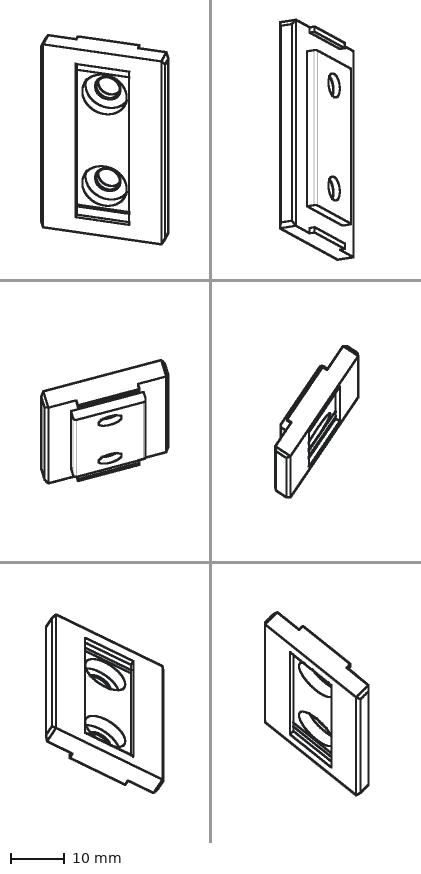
import cadquery as cq

length = 40.0
width = 23.9
plate_thickness = 3.4
side_chamfer = 0.55
end_chamfer_length = 0.9

total_depth = 5.35
block_width = 14.0
block_length = 30.1
block_fillet = 0.5
lip_width = 11.9
lip_length = 1.05
lip_height = 1.05

window_width = 10.3
window_length = 33.5
window_depth = 0.9
recess_width = 12.0
recess_length = 29.85
recess_depth = 1.5

hole_spacing = 20.0
hole_diameter = 4.5
hole_chamfer = 0.2
counterbore_diameter = 8.55
counterbore_depth = 2.3


def box(x_size, z_size, y_start, y_end, z_center=0.0):
    """Box centred on x, spanning y_start to y_end."""
    center = (0, (y_start + y_end) / 2, z_center)
    return cq.Workplane("XY").box(x_size, y_end - y_start, z_size).translate(center)


def make_plate():
    """Plate with its long edges and its four corners bevelled."""
    side_profile = box(width, length, 0, plate_thickness).edges("|Z").chamfer(side_chamfer)
    half_width = width / 2
    half_length = length / 2
    end_half_width = half_width - side_chamfer
    bevel_start = half_length - end_chamfer_length
    corner_outline = (
        cq.Workplane("XZ")
        .polyline([
            (-end_half_width, half_length),
            (end_half_width, half_length),
            (half_width, bevel_start),
            (half_width, -bevel_start),
            (end_half_width, -half_length),
            (-end_half_width, -half_length),
            (-half_width, -bevel_start),
            (-half_width, bevel_start),
        ])
        .close()
        .extrude(-plate_thickness)
    )
    return side_profile.intersect(corner_outline)


def make_block():
    """Raised block with its two long rear edges rounded."""
    block = box(block_width, block_length, plate_thickness, total_depth)
    return block.edges("|Z and >Y").fillet(block_fillet)


def make_lip(end):
    """Narrow lip flush with the top (end = 1) or bottom (end = -1) of the plate."""
    z_center = end * (length - lip_length) / 2
    return box(lip_width, lip_length, plate_thickness, plate_thickness + lip_height, z_center)


def make_screw_hole(z_center):
    """Through hole with a counterbore and a small chamfer at the counterbore floor."""
    seat = recess_depth + counterbore_depth
    hole_radius = hole_diameter / 2
    counterbore_radius = counterbore_diameter / 2
    return (
        cq.Workplane("XY")
        .polyline([
            (0, 0),
            (counterbore_radius, 0),
            (counterbore_radius, seat),
            (hole_radius + hole_chamfer, seat),
            (hole_radius, seat + hole_chamfer),
            (hole_radius, total_depth),
            (0, total_depth),
        ])
        .close()
        .revolve(360, (0, 0), (0, 1))
        .translate((0, 0, z_center))
    )


result = make_plate().union(make_block())
for end in (-1, 1):
    result = result.union(make_lip(end))

result = result.cut(box(window_width, window_length, 0, window_depth))
result = result.cut(box(recess_width, recess_length, window_depth, recess_depth))
for end in (-1, 1):
    result = result.cut(make_screw_hole(end * hole_spacing / 2))